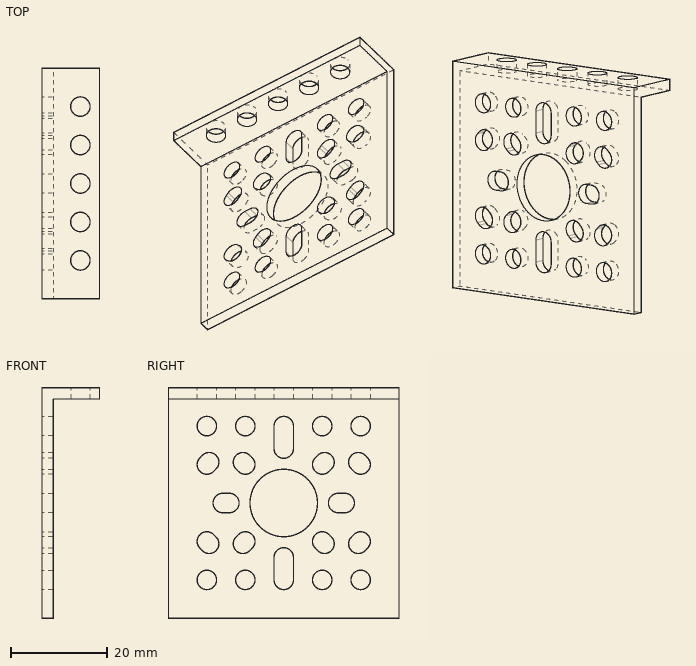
import cadquery as cq
import math

plate_size = 48.0
flange_reach = 12.0
thickness = 2.4
pitch = 8.0
hole_diameter = 4.0
bore_diameter = 14.0
flange_hole_count = 5
flange_hole_x = 8.0

half_size = plate_size / 2
near = pitch
far = 2 * pitch

mirror_y = (near + far) / 2
turned_near = near * math.sqrt(2)
turned_middle = mirror_y / math.sqrt(2)


def angle_body():
    """L-shaped bracket, outer plate face at X = 0, plate centred on Y and Z."""
    plate = cq.Workplane("XY").box(thickness, plate_size, plate_size, centered=(False, True, True))
    flange = (
        cq.Workplane("XY")
        .box(flange_reach, plate_size, thickness, centered=(False, True, False))
        .translate((0, 0, half_size - thickness))
    )
    return plate.union(flange)


def plate_hole(y, z, diameter):
    """Round cutter through the plate along X."""
    return cq.Workplane("YZ").center(y, z).circle(diameter / 2).extrude(thickness)


def plate_slot(start, end):
    """Round-ended cutter through the plate; start and end are the (Y, Z) end centres."""
    run = end[0] - start[0]
    rise = end[1] - start[1]
    overall_length = math.hypot(run, rise) + hole_diameter
    angle = math.degrees(math.atan2(rise, run))
    middle_y = (start[0] + end[0]) / 2
    middle_z = (start[1] + end[1]) / 2
    return (
        cq.Workplane("YZ")
        .center(middle_y, middle_z)
        .slot2D(overall_length, hole_diameter, angle)
        .extrude(thickness)
    )


def round_plate_cutters():
    """Central bore and the round grid holes of the top and bottom rows."""
    cutters = [plate_hole(0, 0, bore_diameter)]
    for z in (-far, far):
        for y in (-far, -near, near, far):
            cutters.append(plate_hole(y, z, hole_diameter))
    return cutters


def axis_slot_cutters():
    """Slots on the vertical and horizontal centre lines, on both sides of the bore."""
    cutters = []
    for side in (-1, 1):
        cutters.append(plate_slot((0, side * turned_near), (0, side * far)))
        mirrored_y = 2 * mirror_y - turned_near
        cutters.append(plate_slot((side * turned_near, 0), (side * mirrored_y, 0)))
    return cutters


def diagonal_slot_cutters():
    """Short diagonal slots: a near and a far one in each quadrant of the plate."""
    cutters = []
    for side in (-1, 1):
        for level in (-1, 1):
            near_end = (side * turned_middle, level * turned_middle)
            cutters.append(plate_slot((side * near, level * near), near_end))
            far_end = (side * (2 * mirror_y - turned_middle), level * turned_middle)
            cutters.append(plate_slot((side * far, level * near), far_end))
    return cutters


def flange_cutters():
    """Row of vertical holes through the flange, centred on the plate width."""
    cutters = []
    for index in range(flange_hole_count):
        y = (index - (flange_hole_count - 1) / 2) * pitch
        cutter = (
            cq.Workplane("XY", origin=(flange_hole_x, y, half_size - thickness))
            .circle(hole_diameter / 2)
            .extrude(thickness)
        )
        cutters.append(cutter)
    return cutters


result = angle_body()
all_cutters = round_plate_cutters() + axis_slot_cutters() + diagonal_slot_cutters() + flange_cutters()
for cutter in all_cutters:
    result = result.cut(cutter)